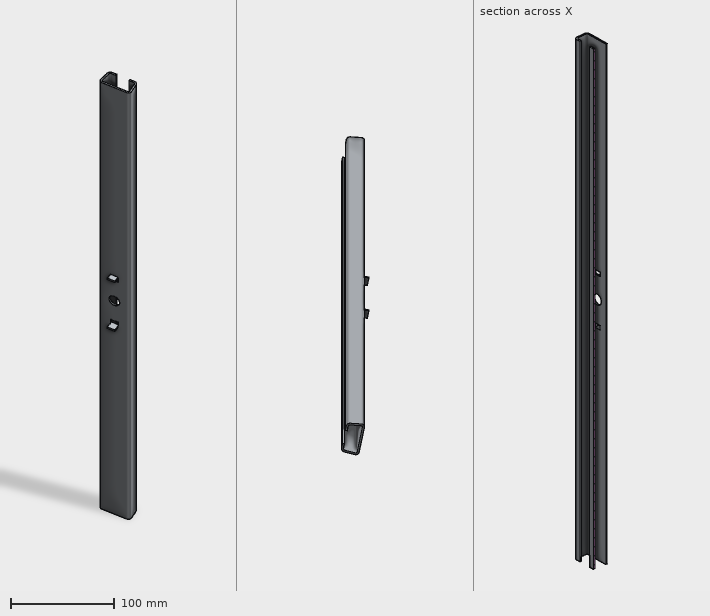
import cadquery as cq
import math

length = 570.0
base_width = 35.0
total_depth = 24.0
tab_reach = 6.0
channel_depth = total_depth - tab_reach

thickness = 2.0
wall_lean = math.radians(6)
lip_gap = 15.0
base_bend_radius = 3.5
lip_bend_radius = 4.0

hole_diameter = 12.0
tab_width = 8.5
tab_outer_height = 33.5
window_inner_height = 27.0


def make_channel():
    """Lipped channel along Z, with the outer face of its base at y = 0."""
    corner_excess = base_bend_radius * ((1 + math.sin(wall_lean)) / math.cos(wall_lean) - 1)
    base_corner = base_width / 2 + corner_excess
    lip_corner = base_corner - channel_depth * math.tan(wall_lean)
    outline = [
        (-base_corner, 0),
        (base_corner, 0),
        (lip_corner, channel_depth),
        (-lip_corner, channel_depth),
    ]
    bar = cq.Workplane("XY").polyline(outline).close().extrude(length)
    bar = bar.edges("|Z").edges("<Y").fillet(base_bend_radius)
    bar = bar.edges("|Z").edges(">Y").fillet(lip_bend_radius)
    tube = bar.faces("<Z or >Z").shell(-thickness)
    mouth = cq.Workplane("XY").box(lip_gap, channel_depth, length, centered=(True, False, False))
    return tube.cut(mouth.translate((0, channel_depth / 2, 0))).translate((0, 0, -length / 2))


def box_between(width, y_start, y_end, z_start, z_end):
    """Box centred on x = 0 between the given Y and Z limits."""
    box = cq.Workplane("XY").box(width, y_end - y_start, z_end - z_start, centered=(True, False, False))
    return box.translate((0, y_start, z_start))


def add_bent_tab(body, side):
    """Cut a window above (side = 1) or below (side = -1) the hole and bend its tab outwards."""
    z_inner = side * window_inner_height
    z_outer = side * tab_outer_height
    z_tab = side * (tab_outer_height - thickness)
    window = box_between(tab_width, 0, thickness, min(z_inner, z_tab), max(z_inner, z_tab))
    tab = box_between(tab_width, -tab_reach, thickness, min(z_tab, z_outer), max(z_tab, z_outer))
    return body.cut(window).union(tab)


def cut_centre_hole(body):
    """Round hole through the base at mid-length."""
    drill = cq.Workplane("XZ").circle(hole_diameter / 2).extrude(-thickness)
    return body.cut(drill)


result = cut_centre_hole(make_channel())
for side in (-1, 1):
    result = add_bent_tab(result, side)